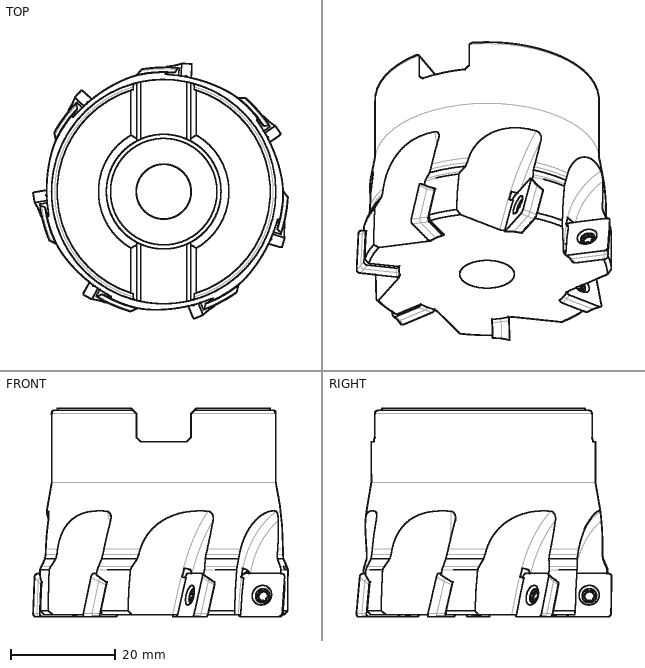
import cadquery as cq
import math

HEIGHT = 40.0
SHANK_RADIUS = 43.0 / 2
SHANK_BOTTOM_Z = 25.8
NECK_RADIUS = 22.85
TOOTH_BODY_RADIUS = 23.85
BODY_BOTTOM_Z = 0.4
BOTTOM_CHAMFER = 0.8

RIM_FACE_RADIUS = 20.42
RIM_STEP = 0.4
RIM_ROUND = 0.55

NECK_TOP_Z = 13.05
BULGE_MIDDLE = (22.45, 20.35)
NECK_BOTTOM_Z = 12.0
CONE_TOP = (22.95, 11.1)
CONE_BOTTOM = (23.6, 9.7)
CONE_BOTTOM_MIDDLE = (23.75, 9.35)
TOOTH_TOP_Z = 9.0

BORE_DIAMETER = 22.0
BORE_DEPTH = 20.0
BORE_MOUTH_DIAMETER = 25.05
BORE_FLOOR_DIAMETER = 20.42
SCREW_HOLE_DIAMETER = 10.5

SLOT_WIDTH = 10.4
SLOT_DEPTH = 6.4
SLOT_MOUTH_CHAMFER = 1.1
SLOT_FLOOR_CHAMFER = 0.8

TOOTH_COUNT = 7
FIRST_TOOTH_ANGLE = 26.0
TIP_RADIUS = 25.1
RADIAL_RAKE = 9.0
AXIAL_RAKE = 13.5

INSERT_SIDE = 8.55
INSERT_THICKNESS = 3.15
INSERT_CORNER_RADIUS = 0.7
FLANK_STEP_DEPTH = 1.5
UPPER_CLEARANCE = 17.0
LOWER_CLEARANCE = 11.0
RECESS_DIAMETER = 3.85
RECESS_FLOOR_DIAMETER = 2.8
RECESS_DEPTH = 0.5
SOCKET_DIAMETER = 2.5
SOCKET_CORE_DIAMETER = 1.85
SOCKET_LOBE_DIAMETER = 0.65
SOCKET_LOBE_COUNT = 6
SOCKET_DEPTH = 1.1
SOCKET_POINT_DEPTH = 0.55

WALL_SETBACK = 0.5
GULLET_CORNER = (16.7, -2.05, 0)
GULLET_FLOOR_ANGLE = -68.0
GULLET_CURVE = [(0, -4.4), (0.3, 4.9), (1.45, 12.25), (4.65, 18.1), (13.7, 22.35)]
GULLET_FILLET = 1.22

RELIEF_DIAMETER = 1.75
RELIEF_INSET = 0.4
RELIEF_FRONT = 0.75

REACH = 29.4


def tilted(angle, rise):
    """Unit vector at a horizontal angle, raised by `rise` degrees."""
    across = math.cos(math.radians(rise))
    return cq.Vector(
        across * math.cos(math.radians(angle)),
        across * math.sin(math.radians(angle)),
        math.sin(math.radians(rise)),
    )


FACE = cq.Plane(
    origin=(TIP_RADIUS, 0, 0),
    xDir=tilted(RADIAL_RAKE, 0),
    normal=tilted(RADIAL_RAKE - 90, AXIAL_RAKE),
)


def turned_blank():
    """Solid of revolution from the toothed end up to the shank's rim."""
    rim_round_start = SHANK_RADIUS - RIM_ROUND
    rim_z = HEIGHT - RIM_STEP
    round_offset = RIM_ROUND * (1 - math.sqrt(0.5))
    return (
        cq.Workplane("XZ")
        .moveTo(0, BODY_BOTTOM_Z)
        .lineTo(TOOTH_BODY_RADIUS - BOTTOM_CHAMFER, BODY_BOTTOM_Z)
        .lineTo(TOOTH_BODY_RADIUS, BODY_BOTTOM_Z + BOTTOM_CHAMFER)
        .lineTo(TOOTH_BODY_RADIUS, TOOTH_TOP_Z)
        .threePointArc(CONE_BOTTOM_MIDDLE, CONE_BOTTOM)
        .lineTo(*CONE_TOP)
        .lineTo(NECK_RADIUS, NECK_BOTTOM_Z)
        .lineTo(NECK_RADIUS, NECK_TOP_Z)
        .threePointArc(BULGE_MIDDLE, (SHANK_RADIUS, SHANK_BOTTOM_Z))
        .lineTo(SHANK_RADIUS, rim_z - RIM_ROUND)
        .threePointArc((SHANK_RADIUS - round_offset, rim_z - round_offset), (rim_round_start, rim_z))
        .lineTo(RIM_FACE_RADIUS, rim_z)
        .lineTo(RIM_FACE_RADIUS, HEIGHT)
        .lineTo(0, HEIGHT)
        .close()
        .revolve(360, (0, 0), (0, 1))
    )


def arbor_bore():
    """Chamfered bore for the arbor with a smaller screw hole below it."""
    mouth = BORE_MOUTH_DIAMETER / 2
    wall = BORE_DIAMETER / 2
    floor = BORE_FLOOR_DIAMETER / 2
    hole = SCREW_HOLE_DIAMETER / 2
    floor_z = HEIGHT - BORE_DEPTH
    return (
        cq.Workplane("XZ")
        .polyline([
            (0, HEIGHT),
            (mouth, HEIGHT),
            (wall, HEIGHT - (mouth - wall)),
            (wall, floor_z + (wall - floor)),
            (floor, floor_z),
            (hole, floor_z),
            (hole, 0),
            (0, 0),
        ])
        .close()
        .revolve(360, (0, 0), (0, 1))
    )


def drive_slot():
    """Slot across the top with chamfers at its mouth and its floor."""
    half = SLOT_WIDTH / 2
    floor_z = HEIGHT - SLOT_DEPTH
    right_side = [
        (half - SLOT_FLOOR_CHAMFER, floor_z),
        (half, floor_z + SLOT_FLOOR_CHAMFER),
        (half, HEIGHT - SLOT_MOUTH_CHAMFER),
        (half + SLOT_MOUTH_CHAMFER, HEIGHT),
    ]
    left_side = [(-x, z) for x, z in reversed(right_side)]
    return cq.Workplane("XZ").polyline(right_side + left_side).close().extrude(REACH, both=True)


def gullet():
    """Chip space: a floor that curves outward at its top, ending at the tooth's wall."""
    floor_plane = cq.Plane(
        origin=GULLET_CORNER,
        xDir=tilted(GULLET_FLOOR_ANGLE + 90, 0),
        normal=tilted(GULLET_FLOOR_ANGLE, AXIAL_RAKE),
    )
    outer_x = GULLET_CURVE[-1][0]
    bottom_y = GULLET_CURVE[0][1]
    sweep = (
        cq.Workplane(floor_plane)
        .moveTo(*GULLET_CURVE[0])
        .spline(GULLET_CURVE[1:], tangents=[(0, 1), (1, 0)], includeCurrent=True)
        .lineTo(outer_x, bottom_y)
        .close()
        .extrude(REACH, both=True)
    )
    in_front_of_wall = (
        cq.Workplane(FACE)
        .workplane(offset=-WALL_SETBACK)
        .circle(2 * REACH)
        .extrude(2 * REACH)
    )
    wall_face = cq.selectors.DirectionMinMaxSelector(FACE.zDir, False)
    return (
        sweep.intersect(in_front_of_wall)
        .faces(wall_face)
        .edges("%BSPLINE")
        .fillet(GULLET_FILLET)
    )


def face_centre(offset=0):
    """Workplane on the middle of the cutting face, moved out of it by `offset`."""
    half = INSERT_SIDE / 2
    return cq.Workplane(FACE).center(-half, half).workplane(offset=offset)


def rounded_square(side):
    return cq.Sketch().rect(side, side).vertices().fillet(INSERT_CORNER_RADIUS)


def insert_layer(front_side, front_depth, back_side, back_depth):
    """Tapered layer of the insert between two rounded squares."""
    to_back = cq.Location((0, 0, front_depth - back_depth))
    return (
        face_centre(-front_depth)
        .placeSketch(rounded_square(front_side), rounded_square(back_side).moved(to_back))
        .loft(ruled=True)
    )


def insert_blank():
    """Square plate whose flanks taper in two stages towards its back."""
    lower_depth = INSERT_THICKNESS - FLANK_STEP_DEPTH
    step_side = INSERT_SIDE - 2 * FLANK_STEP_DEPTH * math.tan(math.radians(UPPER_CLEARANCE))
    back_side = step_side - 2 * lower_depth * math.tan(math.radians(LOWER_CLEARANCE))
    upper = insert_layer(INSERT_SIDE, 0, step_side, FLANK_STEP_DEPTH)
    lower = insert_layer(step_side, FLANK_STEP_DEPTH, back_side, INSERT_THICKNESS)
    return upper.union(lower)


def screw_socket():
    """Lobed driver socket with a conical bottom."""
    core = face_centre().circle(SOCKET_CORE_DIAMETER / 2).extrude(-SOCKET_DEPTH)
    lobe_circle = (SOCKET_DIAMETER - SOCKET_LOBE_DIAMETER) / 2
    lobes = (
        face_centre()
        .polarArray(lobe_circle, 0, 360, SOCKET_LOBE_COUNT)
        .circle(SOCKET_LOBE_DIAMETER / 2)
        .extrude(-SOCKET_DEPTH)
    )
    point = cq.Workplane(
        cq.Solid.makeCone(
            SOCKET_CORE_DIAMETER / 2,
            0,
            SOCKET_POINT_DEPTH,
            face_centre(-SOCKET_DEPTH).plane.origin,
            -FACE.zDir,
        )
    )
    return core.union(lobes).union(point)


def insert():
    """Insert with its countersunk screw recess and driver socket."""
    recess = (
        face_centre()
        .circle(RECESS_DIAMETER / 2)
        .workplane(offset=-RECESS_DEPTH)
        .circle(RECESS_FLOOR_DIAMETER / 2)
        .loft()
    )
    return insert_blank().cut(recess).cut(screw_socket())


def corner_relief():
    """Round clearance at the seat's inner top corner."""
    return (
        cq.Workplane(FACE)
        .workplane(offset=RELIEF_FRONT)
        .center(RELIEF_INSET - INSERT_SIDE, INSERT_SIDE)
        .circle(RELIEF_DIAMETER / 2)
        .extrude(-INSERT_THICKNESS)
    )


def at_tooth(shape, index):
    """Shape turned about Z from angle 0 to the given tooth."""
    angle = FIRST_TOOTH_ANGLE + index * 360 / TOOTH_COUNT
    return shape.rotate((0, 0, 0), (0, 0, 1), angle)


tooth_space = gullet().union(insert_blank()).union(corner_relief())
cutter_body = turned_blank().cut(arbor_bore()).cut(drive_slot())
for tooth in range(TOOTH_COUNT):
    cutter_body = cutter_body.cut(at_tooth(tooth_space, tooth))

cutting_insert = insert()
inserts = [at_tooth(cutting_insert, tooth).val() for tooth in range(TOOTH_COUNT)]

result = cq.Compound.makeCompound([cutter_body.val(), *inserts])